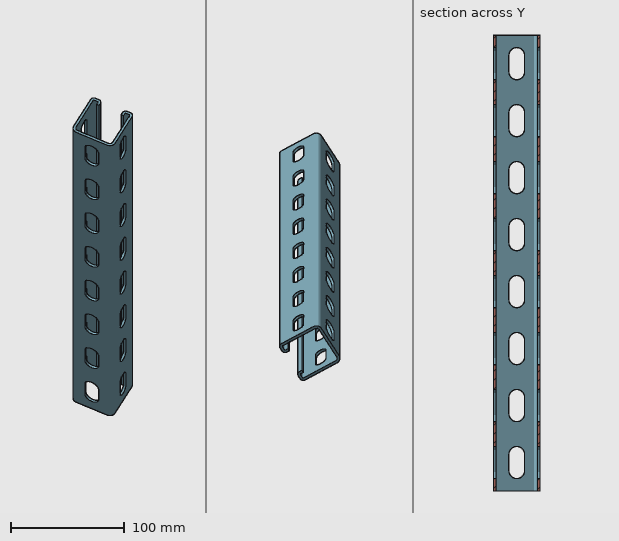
import cadquery as cq

length = 400.0
wall = 2.5
inner_width = 36.0
width = inner_width + 2 * wall
depth = width

lip_width = 9.5
lip_drop = 5.5

web_bend_radius = 5.0
lip_bend_radius = 3.0

slot_count = 8
slot_length = 28.0
web_slot_width = 13.5
side_slot_width = 11.0
slot_pitch = length / slot_count
cut_clearance = 4.0

side_x = width / 2
mouth_x = side_x - lip_width
web_y = -depth / 2
open_y = depth / 2
lip_end_y = open_y - lip_drop


def sharp_channel():
    """Channel with square bends, from the closed outline of the sheet."""
    right_half = [
        (side_x, web_y),
        (side_x, open_y),
        (mouth_x, open_y),
        (mouth_x, lip_end_y),
        (mouth_x + wall, lip_end_y),
        (mouth_x + wall, open_y - wall),
        (side_x - wall, open_y - wall),
        (side_x - wall, web_y + wall),
    ]
    left_half = [(-x, y) for x, y in reversed(right_half)]
    return cq.Workplane("XY").polyline(right_half + left_half).close().extrude(length)


def round_bend(body, x, y, radius):
    """Round the pair of long edges at (x, y) and (-x, y)."""
    margin = 0.05
    for edge_x in (x, -x):
        lower = (edge_x - margin, y - margin, -margin)
        upper = (edge_x + margin, y + margin, length + margin)
        body = body.edges(cq.selectors.BoxSelector(lower, upper)).fillet(radius)
    return body


def slot_row(plane, slot_width, cut_depth):
    """Cutters for one row of slots, long side along Z."""
    centers = [(0, (i + 0.5) * slot_pitch) for i in range(slot_count)]
    row = cq.Workplane(plane).pushPoints(centers)
    return row.slot2D(slot_length, slot_width, 90).extrude(cut_depth)


channel = sharp_channel()
channel = round_bend(channel, side_x, web_y, web_bend_radius)
channel = round_bend(channel, side_x - wall, web_y + wall, web_bend_radius - wall)
channel = round_bend(channel, side_x, open_y, lip_bend_radius)
channel = round_bend(channel, side_x - wall, open_y - wall, lip_bend_radius - wall)
channel = round_bend(channel, mouth_x, open_y, lip_bend_radius)
channel = round_bend(channel, mouth_x + wall, open_y - wall, lip_bend_radius - wall)

web_slots = slot_row("XZ", web_slot_width, depth / 2 + cut_clearance)

through_length = width + 2 * cut_clearance
side_slots = slot_row("YZ", side_slot_width, through_length).translate((-through_length / 2, 0, 0))

result = channel.cut(web_slots).cut(side_slots)